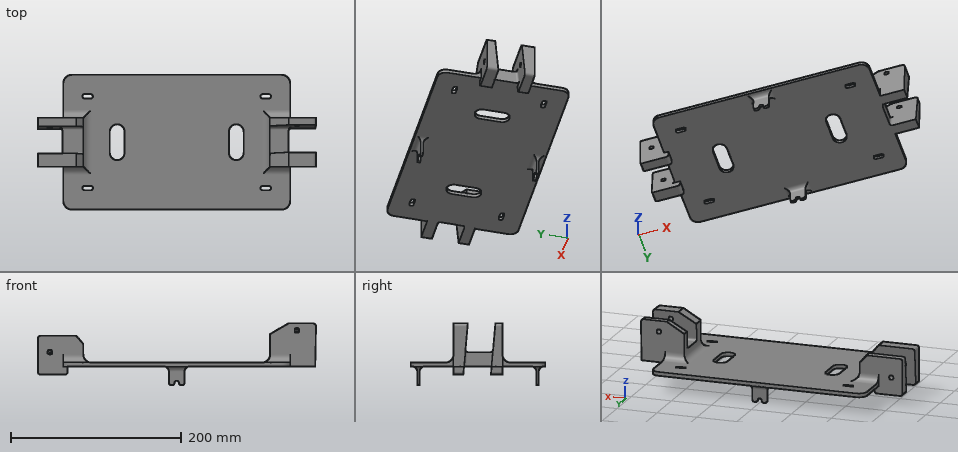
import cadquery as cq

PLATE_LENGTH = 267.0
PLATE_WIDTH = 158.5
PLATE_THICK = 5.0
PLATE_CORNER_R = 10.0
PLATE_END_X = PLATE_LENGTH / 2

LARGE_SLOT_LENGTH = 42.0
LARGE_SLOT_WIDTH = 17.0
LARGE_SLOT_X = 70.0
SMALL_SLOT_LENGTH = 12.0
SMALL_SLOT_WIDTH = 5.0
SMALL_SLOT_X = 104.5
SMALL_SLOT_Y = 54.0

BRACKET_WIDTH = 58.0
BRACKET_INNER_X = 109.5
COLLAR_R = 9.0
BRIDGE_TOP_Z = 17.0
CLEVIS_GAP = 32.0
CLEVIS_TILT = 5.0
CLEVIS_FILLET_R = 3.0
PIN_HOLE_DIA = 5.5

LEFT_OUTER_X = -163.2
LEFT_TOP_Z = 36.3
LEFT_BOTTOM_Z = -9.5
LEFT_FOOT_X = -128.2
LEFT_CHAMFER_X = 8.5
LEFT_CHAMFER_Z = 9.8
LEFT_CORNER_R = 3.3
LEFT_BRIDGE_X = -134.5
LEFT_PIN_X = -149.0
LEFT_PIN_Z = 14.7

RIGHT_OUTER_X = 164.0
RIGHT_END_LEAN = 1.0
RIGHT_TOP_Z = 51.0
RIGHT_CHAMFER_X = 22.0
RIGHT_CHAMFER_Z = 12.8
RIGHT_CORNER_R = 4.0
RIGHT_BRIDGE_X = BRACKET_INNER_X + RIGHT_CHAMFER_X
RIGHT_PIN_X = 141.3
RIGHT_PIN_Z = 40.2

PEG_Y = 70.0
PEG_WIDTH = 18.5
PEG_THICK = 3.0
PEG_LENGTH = 22.0
PEG_ROOT_R = 6.0
PEG_TIP_R = 3.0
NOTCH_WIDTH = 5.0
NOTCH_DEPTH = 5.2

CLEAR = 98.0
MARGIN = 0.3


def make_plate():
    plate = cq.Workplane("XY").rect(PLATE_LENGTH, PLATE_WIDTH).extrude(PLATE_THICK)
    plate = plate.edges("|Z").fillet(PLATE_CORNER_R)
    large_slots = (
        cq.Workplane("XY")
        .pushPoints([(-LARGE_SLOT_X, 0), (LARGE_SLOT_X, 0)])
        .slot2D(LARGE_SLOT_LENGTH, LARGE_SLOT_WIDTH, 90)
        .extrude(PLATE_THICK)
    )
    small_slots = (
        cq.Workplane("XY")
        .rect(2 * SMALL_SLOT_X, 2 * SMALL_SLOT_Y, forConstruction=True)
        .vertices()
        .slot2D(SMALL_SLOT_LENGTH, SMALL_SLOT_WIDTH)
        .extrude(PLATE_THICK)
    )
    return plate.cut(large_slots).cut(small_slots)


def extrude_across(points, width):
    """Solid from an XZ outline, extruded symmetrically along Y."""
    return cq.Workplane("XZ").polyline(points).close().extrude(width / 2, both=True)


def make_left_block():
    outline = [
        (LEFT_OUTER_X, LEFT_BOTTOM_Z),
        (LEFT_FOOT_X, LEFT_BOTTOM_Z),
        (LEFT_FOOT_X, 0),
        (-BRACKET_INNER_X, 0),
        (-BRACKET_INNER_X, LEFT_TOP_Z - LEFT_CHAMFER_Z),
        (-BRACKET_INNER_X - LEFT_CHAMFER_X, LEFT_TOP_Z),
        (LEFT_OUTER_X, LEFT_TOP_Z),
    ]
    block = extrude_across(outline, BRACKET_WIDTH)
    return block.edges("|Y and (<X or <Z)").fillet(LEFT_CORNER_R)


def make_right_block():
    lean_slope = RIGHT_END_LEAN / RIGHT_TOP_Z
    top_corner_x = RIGHT_OUTER_X + lean_slope * RIGHT_CORNER_R
    outline = [
        (BRACKET_INNER_X, 0),
        (top_corner_x - RIGHT_END_LEAN, 0),
        (top_corner_x, RIGHT_TOP_Z),
        (RIGHT_BRIDGE_X, RIGHT_TOP_Z),
        (BRACKET_INNER_X, RIGHT_TOP_Z - RIGHT_CHAMFER_Z),
    ]
    block = extrude_across(outline, BRACKET_WIDTH)
    return block.edges("|Y and >X").fillet(RIGHT_CORNER_R)


def make_collar(side):
    """Concave skirt blending three sides of a bracket into the plate; side is -1 or +1."""
    inner_x = BRACKET_INNER_X - COLLAR_R
    outer_y = BRACKET_WIDTH / 2 + COLLAR_R
    length = PLATE_END_X - inner_x
    axis_z = PLATE_THICK + COLLAR_R
    collar = (
        cq.Workplane("XY", origin=(side * (inner_x + length / 2), 0, PLATE_THICK))
        .rect(length, 2 * outer_y)
        .extrude(COLLAR_R)
    )
    collar = collar.cut(
        cq.Workplane("XZ", origin=(side * inner_x, outer_y, axis_z))
        .circle(COLLAR_R)
        .extrude(2 * outer_y)
    )
    for y in (-outer_y, outer_y):
        collar = collar.cut(
            cq.Workplane("YZ", origin=(0, y, axis_z)).circle(COLLAR_R).extrude(side * PLATE_END_X)
        )
    return collar


def make_clevis_gap(side, bridge_x):
    """Leaning gap between the two arms, stepping around the bridge that joins them."""
    pivot_z = PLATE_THICK / 2
    leaning_slab = cq.Workplane("XY", origin=(0, 0, pivot_z))
    leaning_slab = leaning_slab.box(6 * CLEAR, CLEVIS_GAP, 4 * CLEAR)
    leaning_slab = leaning_slab.rotate((0, 0, pivot_z), (1, 0, pivot_z), -CLEVIS_TILT)

    inner_x = side * (BRACKET_INNER_X - COLLAR_R)
    outer_x = bridge_x + side * CLEAR
    outline_above = [
        (inner_x, BRIDGE_TOP_Z),
        (bridge_x, BRIDGE_TOP_Z),
        (bridge_x, 0),
        (outer_x, 0),
        (outer_x, CLEAR),
        (inner_x, CLEAR),
    ]
    outline_below = [
        (inner_x, 0),
        (outer_x, 0),
        (outer_x, -CLEAR),
        (inner_x, -CLEAR),
    ]
    gap_above = extrude_across(outline_above, 2 * CLEAR).intersect(leaning_slab)
    gap_below = extrude_across(outline_below, 2 * CLEAR).intersect(leaning_slab)

    bridge_edges = cq.selectors.BoxSelector(
        (inner_x, -CLEAR, MARGIN), (bridge_x + side * MARGIN, CLEAR, BRIDGE_TOP_Z + MARGIN)
    )
    gap_above = gap_above.edges("not(|Y)").edges(bridge_edges).fillet(CLEVIS_FILLET_R)
    return gap_above.union(gap_below)


def make_pin_hole(x, z):
    """Hole through both arms, square to the leaning gap and at height z on the centre plane."""
    hole = cq.Workplane("XZ", origin=(x, 0, 0)).circle(PIN_HOLE_DIA / 2)
    hole = hole.extrude(BRACKET_WIDTH, both=True)
    hole = hole.rotate((0, 0, 0), (1, 0, 0), -CLEVIS_TILT)
    return hole.translate((0, 0, z))


def make_peg(y):
    """Thin tab with a flared root, rounded prongs and a round-ended notch."""
    peg = (
        cq.Workplane("XY", origin=(0, y, PLATE_THICK))
        .rect(PEG_WIDTH, PEG_THICK)
        .extrude(-PLATE_THICK - PEG_LENGTH)
    )
    notch_top = -PEG_LENGTH + NOTCH_DEPTH
    notch = (
        cq.Workplane("XZ", origin=(0, y, 0))
        .center(0, notch_top - NOTCH_DEPTH)
        .slot2D(2 * NOTCH_DEPTH, NOTCH_WIDTH, 90)
        .extrude(PEG_THICK, both=True)
    )
    peg = peg.cut(notch)
    return peg.edges("|Y and <Z").fillet(PEG_TIP_R)


def make_base():
    """Plate with both pegs and the flared fillets at their roots."""
    base = make_plate()
    for side in (-1, 1):
        base = base.union(make_peg(side * PEG_Y))
    for side in (-1, 1):
        peg_root = cq.selectors.BoxSelector(
            (-PEG_WIDTH, side * (PEG_Y - PEG_THICK), -MARGIN),
            (PEG_WIDTH, side * (PEG_Y + PEG_THICK), MARGIN),
        )
        base = base.edges(peg_root).fillet(PEG_ROOT_R)
    return base


result = make_base()
result = result.union(make_left_block()).union(make_collar(-1))
result = result.union(make_right_block()).union(make_collar(1))
result = result.cut(make_clevis_gap(-1, LEFT_BRIDGE_X)).cut(make_clevis_gap(1, RIGHT_BRIDGE_X))
result = result.cut(make_pin_hole(LEFT_PIN_X, LEFT_PIN_Z)).cut(make_pin_hole(RIGHT_PIN_X, RIGHT_PIN_Z))